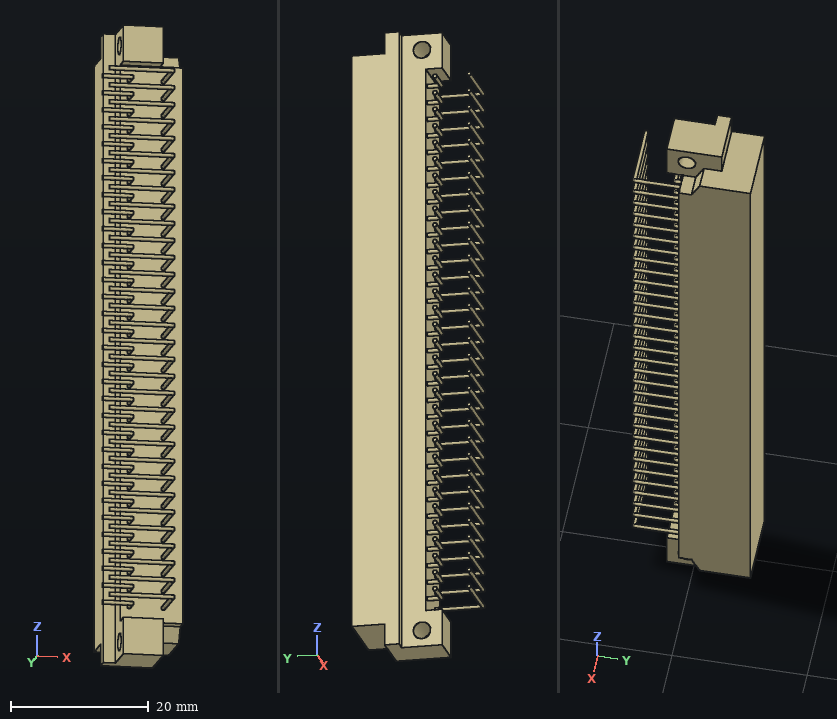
import cadquery as cq

total_length = 94.0
total_depth = 18.05
rear_x = 1.2
rear_step_x = 3.0
flange_mating_x = 8.9
mating_x = 12.3

flange_back_depth = 4.9
rear_step_depth = 7.05
body_depth = 10.6
flange_depth = 13.1

end_setback = 3.2
flange_height = 5.45

shoulder_start_depth = 7.5
shoulder_end_depth = 8.7

hole_diameter = 2.5
hole_depth = 10.1
hole_end_distance = 2.4

pin_diameter = 0.6
pins_per_row = 32
pin_pitch = 2.5
pin_row_length = pin_pitch * (pins_per_row - 1)
row_spacing = 5.1
long_pin_depth = total_depth - pin_diameter / 2
short_pin_depth = long_pin_depth - row_spacing
long_leg_x = 9.4
short_leg_x = long_leg_x - row_spacing
pin_root = 0.5

half_length = total_length / 2
half_back = half_length - end_setback
half_inner = half_length - flange_height


def block(x_start, x_end, depth_start, depth_end, half_height):
    """Box between two X planes and two depths, symmetric about Z = 0."""
    centre = ((x_start + x_end) / 2, -(depth_start + depth_end) / 2, 0)
    width = x_end - x_start
    depth = depth_end - depth_start
    return cq.Workplane("XY").box(width, depth, 2 * half_height).translate(centre)


def make_shroud():
    """Full-width prism whose ends slope in from the back part to the front part."""
    outline = [
        (0, half_back),
        (-shoulder_start_depth, half_back),
        (-shoulder_end_depth, half_inner),
        (-body_depth, half_inner),
        (-body_depth, -half_inner),
        (-shoulder_end_depth, -half_inner),
        (-shoulder_start_depth, -half_back),
        (0, -half_back),
    ]
    prism = cq.Workplane("YZ").workplane(offset=rear_x).polyline(outline).close()
    shroud = prism.extrude(mating_x - rear_x)
    rear_step = block(rear_x, rear_step_x, rear_step_depth, body_depth, half_length)
    return shroud.cut(rear_step)


def make_flanges():
    """Mounting flanges at both ends, with their holes along X."""
    ridge = block(rear_x, flange_mating_x, flange_back_depth, rear_step_depth, half_length)
    front = block(rear_step_x, flange_mating_x, flange_back_depth, flange_depth, half_length)
    gap = block(rear_step_x, flange_mating_x, body_depth, flange_depth, half_inner)
    hole_z = half_length - hole_end_distance
    holes = (
        cq.Workplane("YZ")
        .pushPoints([(-hole_depth, hole_z), (-hole_depth, -hole_z)])
        .circle(hole_diameter / 2)
        .extrude(mating_x)
    )
    return ridge.union(front).cut(gap).cut(holes)


def make_pin(leg_x, depth):
    """Round wire: tail along X, ball-shaped corner, leg back into the body along Y."""
    radius = pin_diameter / 2
    tail = cq.Workplane("YZ", origin=(0, -depth, 0)).circle(radius).extrude(leg_x)
    leg_length = depth - body_depth + pin_root
    leg = cq.Workplane("XZ", origin=(leg_x, -depth, 0)).circle(radius).extrude(-leg_length)
    corner = cq.Workplane("XY", origin=(leg_x, -depth, 0)).sphere(radius)
    return tail.union(leg).union(corner).val()


def make_pins():
    """Both pin rows: the short row close to the body and the long row outside it."""
    pins = []
    for leg_x, depth in ((short_leg_x, short_pin_depth), (long_leg_x, long_pin_depth)):
        pin = make_pin(leg_x, depth)
        for index in range(pins_per_row):
            height = index * pin_pitch - pin_row_length / 2
            pins.append(pin.translate(cq.Vector(0, 0, height)))
    return cq.Workplane("XY").newObject([cq.Compound.makeCompound(pins)])


result = make_shroud().union(make_flanges()).union(make_pins())